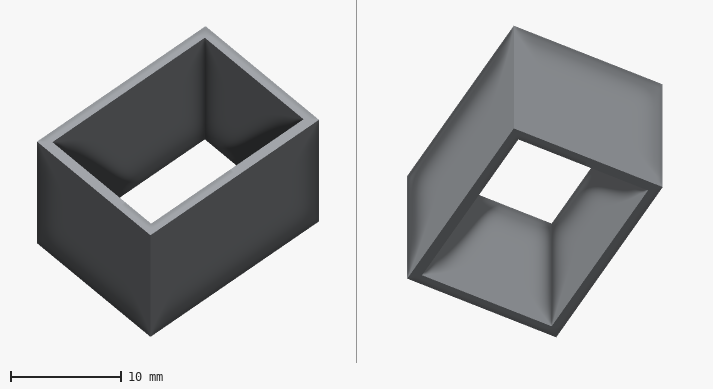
import cadquery as cq

width = 15.3
length = 20.7
height = 14.0
wall = 1.0

opening_width = width - 2 * wall
opening_length = length - 2 * wall

result = (
    cq.Workplane("XY")
    .box(width, length, height)
    .faces(">Z")
    .workplane()
    .rect(opening_width, opening_length)
    .cutThruAll()
)